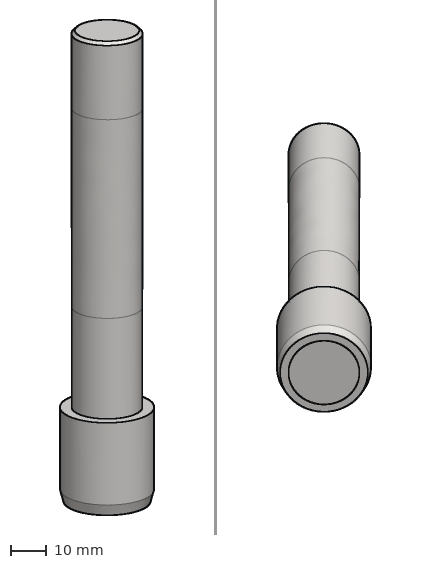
import cadquery as cq
import math

PILLAR_LENGTH = 140.0
PILLAR_DIAMETER = 20.0
LOWER_LAND_DIAMETER = 19.9
PILLAR_TOP_CHAMFER = 1.0
LOWER_LAND_TOP = 58.0
UPPER_LAND_BOTTOM = 117.0

BUSH_DIAMETER = 26.5
BUSH_FOOT = 0.1
BUSH_TOP = 28.0
BUSH_LEAD_TOP = 3.6
BUSH_LEAD_ANGLE = 15.0

pillar_radius = PILLAR_DIAMETER / 2
lower_land_radius = LOWER_LAND_DIAMETER / 2
bush_radius = BUSH_DIAMETER / 2
bush_foot_radius = bush_radius - (BUSH_LEAD_TOP - BUSH_FOOT) * math.tan(math.radians(BUSH_LEAD_ANGLE))


def revolve_profile(points):
    """Turn a closed (radius, height) outline about the Z axis."""
    return cq.Workplane("XZ").polyline(points).close().revolve(360, (0, 0, 0), (0, 1, 0))


def make_pillar():
    """Pillar with a lower land, a slightly widening middle and a chamfered upper land."""
    return revolve_profile([
        (0, 0),
        (lower_land_radius, 0),
        (lower_land_radius, LOWER_LAND_TOP),
        (pillar_radius, UPPER_LAND_BOTTOM),
        (pillar_radius, PILLAR_LENGTH - PILLAR_TOP_CHAMFER),
        (pillar_radius - PILLAR_TOP_CHAMFER, PILLAR_LENGTH),
        (0, PILLAR_LENGTH),
    ])


def make_bush():
    """Plain bush with a tapered foot, bored through for the pillar."""
    return revolve_profile([
        (lower_land_radius, BUSH_FOOT),
        (bush_foot_radius, BUSH_FOOT),
        (bush_radius, BUSH_LEAD_TOP),
        (bush_radius, BUSH_TOP),
        (lower_land_radius, BUSH_TOP),
    ])


pillar = make_pillar()
bush = make_bush()

result = cq.Compound.makeCompound([pillar.val(), bush.val()])